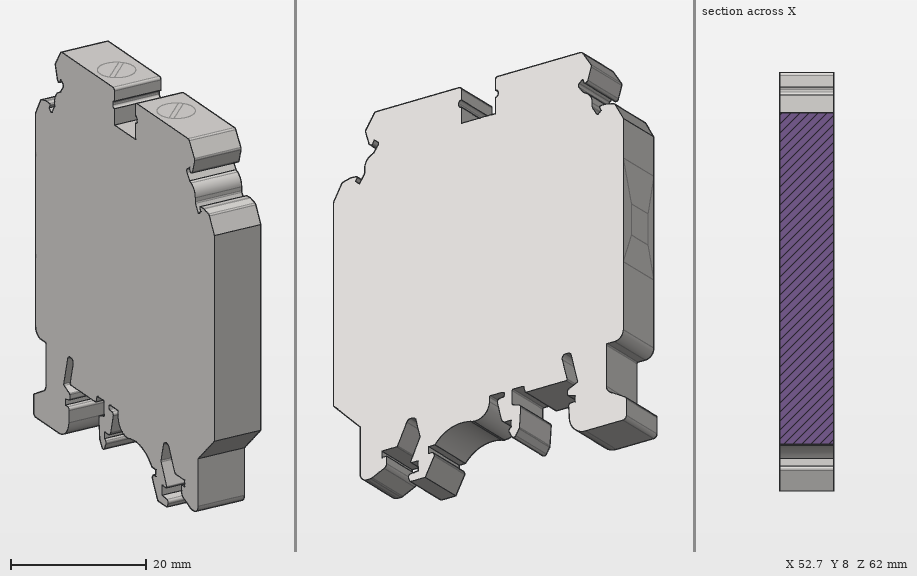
import cadquery as cq
import math


HEIGHT = 62
THICKNESS = 8.0
HALF_WIDTH = 26.05
FOOT_REACH = 26.6

NOTCH_HALF_WIDTH = 3.05
NOTCH_FLOOR = 56.05
GROOVE_DEPTH = 0.5
GROOVE_HEIGHT = 1.2
GROOVE_MIDDLE = 59.3

CAVITY_ROOF = 10.2
LEDGE = 5.3

TINY = 0.2
SMALL = 0.45
MEDIUM = 0.75

CENTRE_Y = -0.3
SCREW_DIAMETER = 5.7
SCREW_X = 8.7
SCREW_SLOT_WIDTH = 0.75
SCREW_SLOT_ANGLE = -45
PIN_DIAMETER = 2.5
INSERT_DEPTH = 1.25
ENTRY_TOP = 42.8
ENTRY_BOTTOM = 25.85
THROAT_TOP = 36.1
THROAT_BOTTOM = 31
THROAT_WIDTH = 4.35


def rounded_outline(corners):
    """Closed XZ wire through (x, z, radius) corners; radius 0 keeps a corner sharp."""
    arcs = []
    for index, (x, z, radius) in enumerate(corners):
        corner = cq.Vector(x, z)
        before = corners[index - 1]
        after = corners[(index + 1) % len(corners)]
        to_before = (cq.Vector(before[0], before[1]) - corner).normalized()
        to_after = (cq.Vector(after[0], after[1]) - corner).normalized()
        half_angle = to_before.getAngle(to_after) / 2
        setback = radius / math.tan(half_angle)
        bisector = (to_before + to_after).normalized()
        middle = corner + bisector * (radius / math.sin(half_angle) - radius)
        arcs.append((radius, corner + to_before * setback, middle, corner + to_after * setback))

    wire = cq.Workplane("XZ").moveTo(arcs[0][3].x, arcs[0][3].y)
    for radius, start, middle, end in arcs[1:] + arcs[:1]:
        wire = wire.lineTo(start.x, start.y)
        if radius > 0:
            wire = wire.threePointArc((middle.x, middle.y), (end.x, end.y))
    return wire.close()


def mirrored(corners):
    """The same corners on the other side of X = 0, in reversed order."""
    return [(-x, z, radius) for x, z, radius in reversed(corners)]


def upper_half():
    """Right half of the top, from the notch floor out to the top of the side wall."""
    groove_x = NOTCH_HALF_WIDTH + GROOVE_DEPTH
    groove_bottom = GROOVE_MIDDLE - GROOVE_HEIGHT / 2
    groove_top = GROOVE_MIDDLE + GROOVE_HEIGHT / 2
    notch = [
        (NOTCH_HALF_WIDTH, NOTCH_FLOOR, 0),
        (NOTCH_HALF_WIDTH, groove_bottom, 0),
        (groove_x, groove_bottom, SMALL),
        (groove_x, groove_top, SMALL),
        (NOTCH_HALF_WIDTH, groove_top, 0),
        (NOTCH_HALF_WIDTH, HEIGHT, SMALL),
    ]
    upper_snap_nose = [
        (18.6, HEIGHT, SMALL),
        (20.35, 59.35, SMALL),
        (19.6, 56.8, SMALL),
        (19.05, 56.8, TINY),
        (18.7, 57.5, 0),
    ]
    label_recess = [
        (17.8, 56.7, SMALL),
        (18.85, 55.35, 0),
        (20.45, 54.55, 2.2),
        (20.45, 52.45, SMALL),
        (21.4, 50.95, TINY),
    ]
    lower_snap_nose = [
        (22.1, 51.6, 0),
        (21.65, 52.3, TINY),
        (22.95, 52.4, SMALL),
        (24.5, 52.0, SMALL),
        (HALF_WIDTH, 49.2, 0),
    ]
    return notch + upper_snap_nose + label_recess + lower_snap_nose


def right_foot():
    """Bevelled right side down to the short foot with its rail ledge."""
    foot_side = 21.25
    ledge_end = 17.35
    ledge_roof = 6.3
    return [
        (HALF_WIDTH, 15.95, 0),
        (foot_side, 11.3, 0),
        (foot_side, 2.35, 1.25),
        (19.2, 2.35, MEDIUM),
        (16.5, 3.6, MEDIUM),
        (16.5, LEDGE, 0),
        (ledge_end, LEDGE, 0),
        (ledge_end, ledge_roof, 0),
        (14.6, ledge_roof, TINY),
    ]


def right_clip():
    """Relief slot and the springy hook beside it."""
    slot_floor = 3.05
    hook_slot_end = 10.85
    rail_slot_end = 8.9
    rail_slot_roof = 4.85
    rail_slot_floor = 3.7
    return [
        (12.65, 10.3, MEDIUM),
        (11.35, 10.3, MEDIUM),
        (10.5, 6.8, SMALL),
        (12.3, slot_floor, TINY),
        (hook_slot_end, slot_floor, 0),
        (hook_slot_end, 1.4, 0),
        (12.8, 1.2, SMALL),
        (12.3, 0, TINY),
        (9.55, 0, 0),
        (7.9, 3.15, TINY),
        (8.2, rail_slot_floor, TINY),
        (rail_slot_end, rail_slot_floor, 0),
        (rail_slot_end, rail_slot_roof, 0),
        (7.8, rail_slot_roof, 0),
    ]


def saddle():
    """Broad hollow arch ending in a rounded lobe on the left."""
    lobe_side = -2.0
    return [
        (4.95, 8.4, 6.2),
        (lobe_side, 5.7, 2.5),
        (lobe_side, CAVITY_ROOF, TINY),
    ]


def centre_prong():
    """Thin barbed prong hanging from the cavity roof."""
    prong_side = -6.1
    return [
        (-5.0, CAVITY_ROOF, SMALL),
        (-4.5, 9.4, TINY),
        (-3.3, 9.3, SMALL),
        (-4.3, LEDGE, MEDIUM),
        (-5.9, LEDGE, 0),
        (-5.9, 4.2, 0),
        (-5.4, 3.7, SMALL),
        (-6.3, 1.85, SMALL),
        (-7.4, 3.6, SMALL),
        (-7.6, 7.25, SMALL),
        (prong_side, 7.75, TINY),
        (prong_side, CAVITY_ROOF, TINY),
    ]


def left_foot():
    """Stepped ceiling, slanted relief slot and the long left foot."""
    ceiling = 9.1
    slot_roof = 13.5
    hook_slot_end = -17.35
    shank_side = -23.0
    shoulder = 13.2
    return [
        (-8.1, CAVITY_ROOF, TINY),
        (-8.45, ceiling, TINY),
        (-16.0, ceiling, TINY),
        (-14.9, slot_roof, 0.6),
        (-16.55, slot_roof, 0.6),
        (-17.85, 8.4, TINY),
        (-16.05, 7.55, TINY),
        (-16.05, 6.6, TINY),
        (hook_slot_end, 6.25, 0),
        (hook_slot_end, LEDGE, 0),
        (-16.2, LEDGE, SMALL),
        (-16.5, 0, 3.0),
        (-FOOT_REACH, 0, 0.6),
        (-FOOT_REACH, 3.55, SMALL),
        (shank_side, 5.6, 1.25),
        (shank_side, shoulder, TINY),
        (-HALF_WIDTH, shoulder, 1.55),
    ]


def flush_prism(plane, corners):
    """Insert of INSERT_DEPTH drawn on a plane whose normal points out of the body."""
    return plane.polyline(corners).close().extrude(-INSERT_DEPTH)


def flush_disc(x, z, diameter):
    """Round insert whose top is level with the face at height z."""
    return cq.Workplane(origin=(x, CENTRE_Y, z)).circle(diameter / 2).extrude(-INSERT_DEPTH)


def screw_slot(x):
    """Bar across the screw head, trimmed to the round head."""
    bar = (
        cq.Workplane(origin=(x, CENTRE_Y, HEIGHT))
        .transformed(rotate=(0, 0, SCREW_SLOT_ANGLE))
        .rect(SCREW_DIAMETER, SCREW_SLOT_WIDTH)
        .extrude(-INSERT_DEPTH)
    )
    return bar.intersect(flush_disc(x, HEIGHT, SCREW_DIAMETER))


def wire_entry():
    """Throat and the two flared panels above and below it, flush with the left side."""
    side = cq.Plane(origin=(-HALF_WIDTH, 0, 0), xDir=(0, -1, 0), normal=(-1, 0, 0))
    edge = THICKNESS / 2
    throat_left = -CENTRE_Y - THROAT_WIDTH / 2
    throat_right = -CENTRE_Y + THROAT_WIDTH / 2
    inserts = []
    for outer, inner in ((ENTRY_TOP, THROAT_TOP), (ENTRY_BOTTOM, THROAT_BOTTOM)):
        panel = [(-edge, outer), (edge, outer), (throat_right, inner), (throat_left, inner)]
        inserts.append(flush_prism(cq.Workplane(side), panel))
    throat = [
        (throat_left, THROAT_TOP),
        (throat_right, THROAT_TOP),
        (throat_right, THROAT_BOTTOM),
        (throat_left, THROAT_BOTTOM),
    ]
    inserts.append(flush_prism(cq.Workplane(side), throat))
    return inserts


underside = right_foot() + right_clip() + saddle() + centre_prong() + left_foot()
outline = upper_half() + underside + mirrored(upper_half())
body = rounded_outline(outline).extrude(THICKNESS / 2, both=True)

flush_inserts = [flush_disc(0, NOTCH_FLOOR, PIN_DIAMETER)]
for screw_x in (-SCREW_X, SCREW_X):
    flush_inserts.append(flush_disc(screw_x, HEIGHT, SCREW_DIAMETER))
    flush_inserts.append(screw_slot(screw_x))
flush_inserts += wire_entry()

result = body
for insert in flush_inserts:
    result = result.union(insert, clean=False)